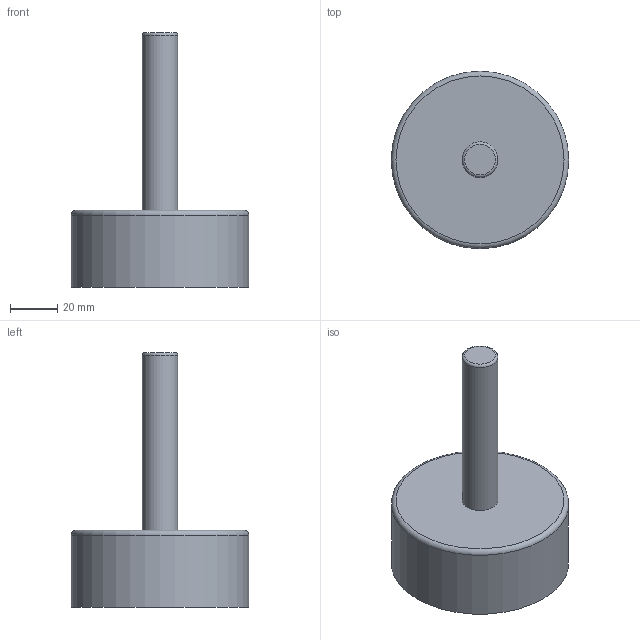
import cadquery as cq

base_diameter = 75.0
base_height = 32.5
base_edge_radius = 2.0

rod_diameter = 15.0
rod_length = 75.0
rod_edge_radius = 1.0


def rounded_cylinder(diameter, height, edge_radius):
    """Upright cylinder on Z = 0 with its top edge rounded."""
    cylinder = cq.Workplane("XY").circle(diameter / 2).extrude(height)
    return cylinder.faces(">Z").edges().fillet(edge_radius)


base = rounded_cylinder(base_diameter, base_height, base_edge_radius)
rod = rounded_cylinder(rod_diameter, rod_length, rod_edge_radius)

result = base.union(rod.translate((0, 0, base_height)))